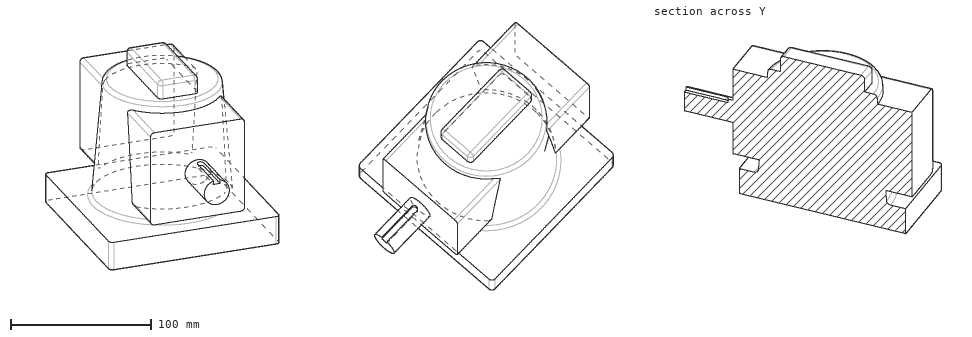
import cadquery as cq

base_side = 130.0
base_height = 21.5
edge_radius = 3.0

body_bottom_radius = 50.5
body_top_radius = 42.7
body_top = 112.2

block_length = 140.0
block_side = 72.0
block_bottom = 32.5
block_center = block_bottom + block_side / 2

cap_length = 66.1
cap_width = 30.2
cap_top = 125.5

shaft_diameter = 19.2
shaft_length = 37.9
keyway_width = 5.0
keyway_depth = 3.0
keyway_length = 34.0
shaft_end = block_length / 2 + shaft_length


def make_base():
    return (
        cq.Workplane("XY")
        .rect(base_side, base_side)
        .extrude(base_height)
        .edges("|Z")
        .fillet(edge_radius)
    )


def make_body():
    return (
        cq.Workplane("XZ")
        .moveTo(0, base_height)
        .lineTo(body_bottom_radius, base_height)
        .lineTo(body_top_radius, body_top)
        .lineTo(0, body_top)
        .close()
        .revolve(360, (0, 0, 0), (0, 1, 0))
        .faces(">Z")
        .edges()
        .fillet(edge_radius)
    )


def make_block():
    return (
        cq.Workplane("XY")
        .box(block_length, block_side, block_side)
        .edges("|X")
        .fillet(edge_radius)
        .translate((0, 0, block_center))
    )


def make_cap():
    return (
        cq.Workplane("XY", origin=(0, 0, body_top))
        .rect(cap_length, cap_width)
        .extrude(cap_top - body_top)
        .edges("|Z or >Z")
        .fillet(edge_radius)
    )


def make_shaft():
    shaft = (
        cq.Workplane("YZ", origin=(0, 0, block_center))
        .circle(shaft_diameter / 2)
        .extrude(shaft_end)
    )
    keyway_floor = block_center + shaft_diameter / 2 - keyway_depth
    keyway = (
        cq.Workplane("XY", origin=(shaft_end, 0, keyway_floor))
        .slot2D(2 * keyway_length, keyway_width)
        .extrude(shaft_diameter)
    )
    return shaft.cut(keyway)


pedestal = make_base().union(make_body())
foot_edge = cq.selectors.RadiusNthSelector(-1)
pedestal = (
    pedestal.faces("<Z[1]")
    .edges("%CIRCLE")
    .edges(foot_edge)
    .fillet(edge_radius)
)

result = pedestal.union(make_block()).union(make_cap()).union(make_shaft())